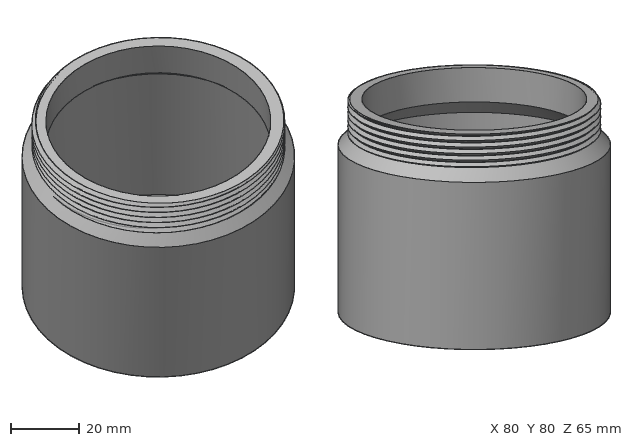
import cadquery as cq

height = 65.0
body_radius = 80.0 / 2
body_height = 51.1
floor_thickness = 2.5
cavity_radius = 75.0 / 2
bore_radius = 66.0 / 2
bore_depth = 10.5

pitch = 2.0
crest_radius = 37.15
root_radius = 35.9
root_gap = 0.04
thread_embed = 0.1
thread_start = 53.9
start_angle = -90.0

shoulder_top = body_height + body_radius - root_radius
bore_bottom = height - bore_depth
cavity_top = bore_bottom - (cavity_radius - bore_radius)


def revolve_profile(outline):
    """Spin a closed (radius, height) outline a full turn about the Z axis."""
    return cq.Workplane("YZ").polyline(outline).close().revolve(360, (0, 0), (0, 1))


def make_outer():
    """Solid of the body, its shoulder and the plain neck."""
    return revolve_profile([
        (0, 0),
        (body_radius, 0),
        (body_radius, body_height),
        (root_radius, shoulder_top),
        (root_radius, height),
        (0, height),
    ])


def make_cavity():
    """Wide chamber that tapers at 45 degrees into the narrower mouth."""
    return revolve_profile([
        (0, floor_thickness),
        (cavity_radius, floor_thickness),
        (cavity_radius, cavity_top),
        (bore_radius, bore_bottom),
        (bore_radius, height),
        (0, height),
    ])


def make_thread():
    """V-shaped helical ridge that runs one pitch past the rim."""
    half_base = (pitch - root_gap) / 2
    base_radius = root_radius - thread_embed
    run = height - thread_start + pitch
    helix = cq.Wire.makeHelix(pitch, run, base_radius)
    return (
        cq.Workplane("XZ")
        .polyline([(base_radius, -half_base), (crest_radius, 0), (base_radius, half_base)])
        .close()
        .sweep(cq.Workplane(obj=helix), isFrenet=True)
        .rotate((0, 0, 0), (0, 0, 1), start_angle)
        .translate((0, 0, thread_start))
    )


def make_rim_trim():
    """Disc above the rim that cuts the end of the thread level."""
    return cq.Workplane("XY").workplane(offset=height).circle(body_radius).extrude(2 * pitch)


result = make_outer().union(make_thread()).cut(make_rim_trim()).cut(make_cavity())